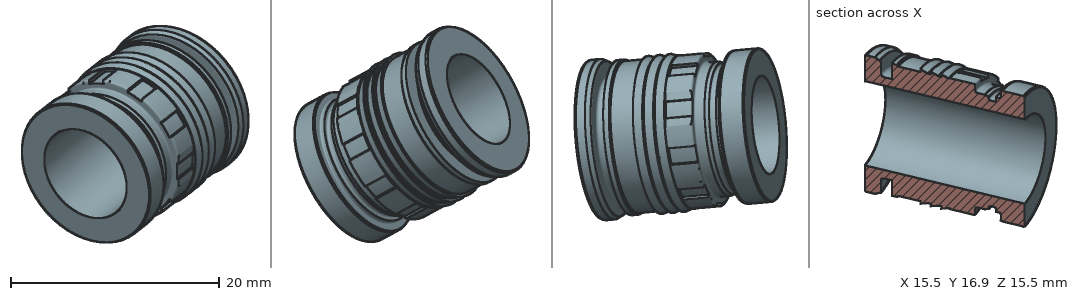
import cadquery as cq
import math

length = 16.89
bore_radius = 4.75

flange_radius = 7.75
flange_rear_bevel = (0.12, 0.19)
flange_front_bevel = (0.25, 0.49)
flange_thickness = 1.7
flange_edge_round = 0.14

rear_groove_radius = 5.76
rear_groove_end = 2.84
rear_groove_fillet = 0.32

collar_radius = 7.5
collar_width = 0.55
collar_bevel = 0.14
body_radius = 7.35

barb_radius = 7.63
barb_count = 3
barb_start = 5.85
barb_pitch = 1.1
barb_ramp = 0.85

grip_radius = 7.43
grip_start = 8.92
grip_end = 11.67
grip_edge_round = 0.2
slot_count = 10
slot_width = 1.69
slot_floor_radius = 7.11
slot_start = 9.0
side_flat_distance = 7.23

neck_radius = 6.5
neck_fillet = 0.19
neck_bevel = (0.15, 0.4)
seal_groove_start = 13.09
seal_groove_end = 13.83
seal_groove_radius = 6.0
seal_groove_fillet = 0.19

rim_radius = 7.41
rim_start = 14.32
rim_rear_bevel = (0.07, 0.19)
rim_front_bevel = (0.08, 0.14)
rim_root_fillet = 0.15


def station(radius, depth):
    """Outline point at a radius and a depth measured forward from the rear face."""
    return (radius, length - depth)


def round_to(outline, start, end, centre):
    """Draw a quarter circle from start to end, each given as (radius, depth), around centre."""
    size = math.dist(start, centre)
    mid_radius = (start[0] + end[0]) / 2 - centre[0]
    mid_depth = (start[1] + end[1]) / 2 - centre[1]
    stretch = size / math.hypot(mid_radius, mid_depth)
    middle = station(centre[0] + mid_radius * stretch, centre[1] + mid_depth * stretch)
    return outline.lineTo(*station(*start)).threePointArc(middle, station(*end))


def add_flange(outline):
    radial, axial = flange_rear_bevel
    outline = outline.lineTo(*station(flange_radius - radial, 0))
    outline = outline.lineTo(*station(flange_radius, axial))
    radial, axial = flange_front_bevel
    bevel_end = flange_thickness - flange_edge_round
    outline = outline.lineTo(*station(flange_radius, bevel_end - axial))
    edge_radius = flange_radius - radial
    inner_radius = edge_radius - flange_edge_round
    return round_to(
        outline, (edge_radius, bevel_end), (inner_radius, flange_thickness), (inner_radius, bevel_end)
    )


def add_rear_groove(outline):
    fillet_radius = rear_groove_radius + rear_groove_fillet
    fillet_end = flange_thickness + rear_groove_fillet
    outline = round_to(
        outline,
        (fillet_radius, flange_thickness),
        (rear_groove_radius, fillet_end),
        (fillet_radius, fillet_end),
    )
    return outline.lineTo(*station(rear_groove_radius, rear_groove_end))


def add_collar(outline):
    collar_end = rear_groove_end + collar_width
    outline = outline.lineTo(*station(collar_radius, rear_groove_end))
    outline = outline.lineTo(*station(collar_radius, collar_end))
    return outline.lineTo(*station(body_radius, collar_end + collar_bevel))


def add_barbs(outline):
    for i in range(barb_count):
        start = barb_start + i * barb_pitch
        outline = outline.lineTo(*station(body_radius, start))
        outline = outline.lineTo(*station(barb_radius, start))
        outline = outline.lineTo(*station(body_radius, start + barb_ramp))
    return outline


def add_grip(outline):
    outline = outline.lineTo(*station(body_radius, grip_start))
    outline = outline.lineTo(*station(grip_radius, grip_start))
    inner_radius = grip_radius - grip_edge_round
    round_start = grip_end - grip_edge_round
    return round_to(outline, (grip_radius, round_start), (inner_radius, grip_end), (inner_radius, round_start))


def add_neck(outline):
    fillet_radius = neck_radius + neck_fillet
    fillet_end = grip_end + neck_fillet
    outline = round_to(
        outline, (fillet_radius, grip_end), (neck_radius, fillet_end), (fillet_radius, fillet_end)
    )
    radial, axial = neck_bevel
    outline = outline.lineTo(*station(neck_radius, seal_groove_start - axial))
    return outline.lineTo(*station(neck_radius - radial, seal_groove_start))


def add_seal_groove(outline):
    fillet_radius = seal_groove_radius + seal_groove_fillet
    rear_centre = (fillet_radius, seal_groove_start + seal_groove_fillet)
    front_centre = (fillet_radius, seal_groove_end - seal_groove_fillet)
    outline = round_to(
        outline, (fillet_radius, seal_groove_start), (seal_groove_radius, rear_centre[1]), rear_centre
    )
    outline = round_to(
        outline, (seal_groove_radius, front_centre[1]), (fillet_radius, seal_groove_end), front_centre
    )
    return outline.lineTo(*station(neck_radius, seal_groove_end))


def add_rim(outline):
    fillet_radius = neck_radius + rim_root_fillet
    fillet_start = rim_start - rim_root_fillet
    outline = round_to(
        outline, (neck_radius, fillet_start), (fillet_radius, rim_start), (fillet_radius, fillet_start)
    )
    radial, axial = rim_rear_bevel
    outline = outline.lineTo(*station(rim_radius - radial, rim_start))
    outline = outline.lineTo(*station(rim_radius, rim_start + axial))
    radial, axial = rim_front_bevel
    outline = outline.lineTo(*station(rim_radius, length - axial))
    return outline.lineTo(*station(rim_radius - radial, length))


def turned_sleeve():
    """Revolve the full outline, traced from the rear face to the front face, around Y."""
    outline = cq.Workplane("XY").moveTo(*station(bore_radius, 0))
    features = (
        add_flange, add_rear_groove, add_collar, add_barbs, add_grip, add_neck, add_seal_groove, add_rim
    )
    for add_feature in features:
        outline = add_feature(outline)
    outline = outline.lineTo(*station(bore_radius, length)).close()
    return outline.revolve(360, (0, 0, 0), (0, 1, 0))


def slotted_zone(inner_radius):
    """Tube around the slotted part of the grip ring, larger than the ring itself."""
    plane = cq.Workplane("XZ", origin=(0, length - slot_start, 0))
    return plane.circle(flange_radius).circle(inner_radius).extrude(grip_end - slot_start)


def slotted_zone_box(width, height):
    """Box centred on the axis, as long as the slotted part of the grip ring."""
    middle_depth = (slot_start + grip_end) / 2
    box = cq.Workplane("XY").box(width, grip_end - slot_start, height)
    return box.translate((0, length - middle_depth, 0))


def grip_slots():
    """Parallel-sided slots with a round floor, evenly spaced from the X axis."""
    bars = cq.Workplane("XY")
    for i in range(slot_count // 2):
        bar = slotted_zone_box(2 * flange_radius, slot_width)
        bars = bars.union(bar.rotate((0, 0, 0), (0, 1, 0), i * 360 / slot_count))
    return bars.intersect(slotted_zone(slot_floor_radius))


def side_flats():
    """Material beyond the flats on the +X and -X sides of the grip ring."""
    return slotted_zone(bore_radius).cut(slotted_zone_box(2 * side_flat_distance, 2 * flange_radius))


result = turned_sleeve().cut(grip_slots()).cut(side_flats())